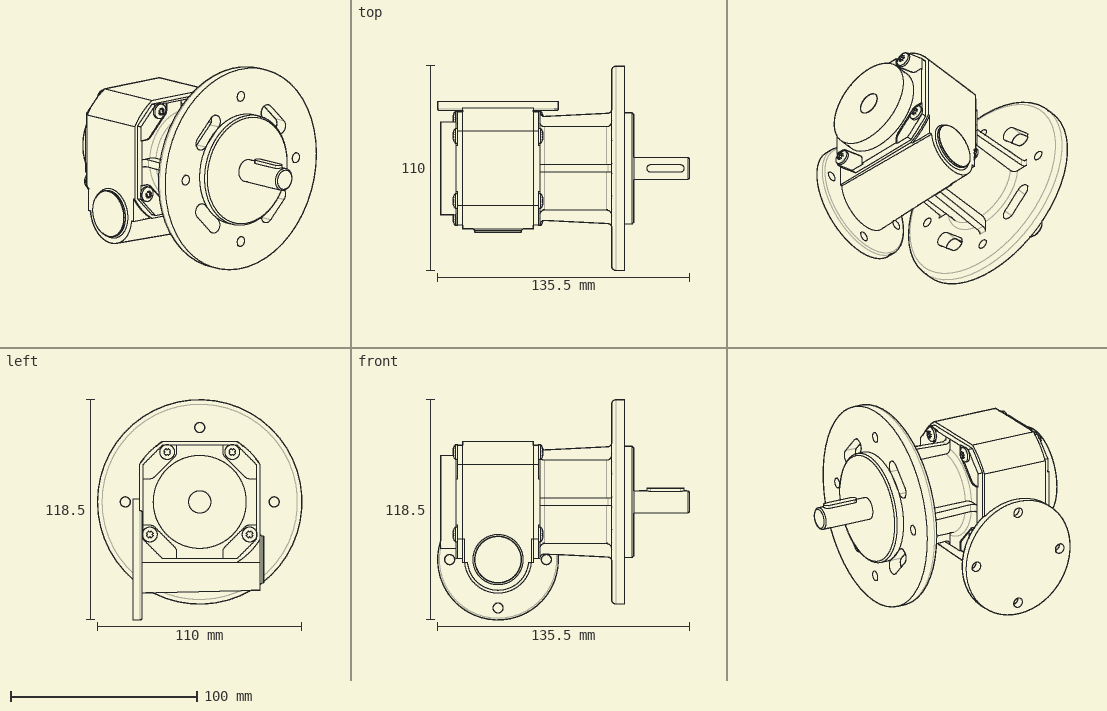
import cadquery as cq
import math


DIAGONAL = math.sqrt(0.5)

CASE_HALF_LENGTH = 19.0
CASE_HALF_WIDTH = 32.5
CORNER_START = 20.0
COVER_HALF_WIDTH = 30.5
COVER_FACE_X = 22.5

OUTPUT_Z = -31.0
BARREL_FRONT_RADIUS = 16.5
BARREL_BACK_RADIUS = 18.0
BARREL_END_Y = 31.0
BARREL_FRAME_BOTTOM_Z = -32.5
OUTPUT_FLANGE_RADIUS = 32.5
OUTPUT_FLANGE_THICKNESS = 5.0
OUTPUT_FLANGE_FILLET = 1.0
OUTPUT_BOLT_RADIUS = 26.0
FLANGE_HOLE_DIAMETER = 5.3
PLUG_RADIUS = 12.6
PLUG_HEIGHT = 2.0
PLUG_CHAMFER = 0.2
PLUG_COLLAR_RADIUS = 13.5
PLUG_COLLAR_HEIGHT = 0.9

PAD_DEPTH = 0.75
PAD_SIDE = 12.4
PAD_DIAGONAL = 37.7
PAD_FILLET = 4.0
SCREW_NEAR = 17.5
SCREW_FAR = 26.8
SCREW_HEAD_RADIUS = 4.0
SCREW_HEAD_HEIGHT = 2.6
SCREW_RIM_HEIGHT = 1.2
CROSS_LENGTH = 3.5
CROSS_WIDTH = 1.7
CROSS_DEPTH = 1.2

END_CAP_RADIUS = 25.0
END_CAP_FACE_X = -30.8
SHAFT_END_RECESS = 0.2

NECK_RADIUS = 22.5
NECK_COVER_FILLET = 2.4
NECK_FLANGE_FILLET = 2.7
FLANGE_START_X = 61.0
FLANGE_END_X = 68.0
FLANGE_RADIUS = 55.0
FLANGE_FILLET = 2.5
RIB_WIDTH = 4.0
RIB_COVER_HEIGHT = 28.0
RIB_FLANGE_HEIGHT = 29.7
RIB_FLANGE_FILLET = 2.0
RIB_COVER_FILLET = 2.4
FLANGE_BOLT_RADIUS = 40.0
SLOT_RADIUS = 33.5
SLOT_WIDTH = 8.0
SLOT_CHORD = 13.6
OPEN_SLOT_ANGLES = (45, 135, 315)
CLOSED_SLOT_ANGLE = 225
CLOSED_SLOT_FLOOR = 0.4
SPIGOT_RADIUS = 30.0
SPIGOT_END_X = 73.0
SPIGOT_CHAMFER = 1.0

SHAFT_RADIUS = 6.0
SHAFT_END_X = 103.0
SHAFT_CHAMFER = 0.8
KEY_START_X = 80.0
KEY_LENGTH = 20.0
KEY_WIDTH = 4.0
KEY_TOP_Z = 7.4


def cylinder_x(radius, start_x, end_x):
    return cq.Workplane("YZ", origin=(start_x, 0, 0)).circle(radius).extrude(end_x - start_x)


def cylinder_y(radius, start_y, end_y):
    return cq.Workplane("XZ", origin=(0, start_y, OUTPUT_Z)).circle(radius).extrude(start_y - end_y)


def case_block():
    """Case body with three corners rounded about the main axis; the lower +Y corner is square."""
    corner_mid = math.hypot(CASE_HALF_WIDTH, CORNER_START) * DIAGONAL
    return (
        cq.Workplane("YZ", origin=(-CASE_HALF_LENGTH, 0, 0))
        .moveTo(CASE_HALF_WIDTH, -CASE_HALF_WIDTH)
        .lineTo(CASE_HALF_WIDTH, CORNER_START)
        .threePointArc((corner_mid, corner_mid), (CORNER_START, CASE_HALF_WIDTH))
        .lineTo(-CORNER_START, CASE_HALF_WIDTH)
        .threePointArc((-corner_mid, corner_mid), (-CASE_HALF_WIDTH, CORNER_START))
        .lineTo(-CASE_HALF_WIDTH, -CORNER_START)
        .threePointArc((-corner_mid, -corner_mid), (-CORNER_START, -CASE_HALF_WIDTH))
        .close()
        .extrude(2 * CASE_HALF_LENGTH)
    )


def cover_block():
    """Square block with chamfered corners that runs through the case and forms both covers."""
    side = 2 * COVER_HALF_WIDTH
    block = cq.Workplane("XY").box(2 * COVER_FACE_X, side, side)
    return block.edges("|X").chamfer(COVER_HALF_WIDTH - CORNER_START)


def corner_pads():
    """Shallow pockets on the -X cover that seat the four screw heads."""
    reach = CASE_HALF_WIDTH
    far_side = PAD_DIAGONAL - PAD_SIDE
    pad = (
        cq.Workplane("YZ", origin=(-COVER_FACE_X, 0, 0))
        .polyline([
            (PAD_SIDE, reach),
            (PAD_SIDE, far_side),
            (far_side, PAD_SIDE),
            (reach, PAD_SIDE),
            (reach, reach),
        ])
        .close()
        .extrude(PAD_DEPTH)
    )
    margin = PAD_FILLET / 4
    bend_region = cq.selectors.BoxSelector(
        (-COVER_FACE_X - margin, PAD_SIDE - margin, PAD_SIDE - margin),
        (-COVER_FACE_X + margin, far_side + margin, far_side + margin),
    )
    pad = pad.edges("|X").edges(bend_region).fillet(PAD_FILLET)
    pads = pad
    for turn in (90, 180, 270):
        pads = pads.union(pad.rotate((0, 0, 0), (1, 0, 0), turn))
    return pads


def screw_head():
    """Domed cross-recess head pointing to -X with its seat at the origin."""
    rise = SCREW_HEAD_HEIGHT - SCREW_RIM_HEIGHT
    dome_radius = (SCREW_HEAD_RADIUS**2 + rise**2) / (2 * rise)
    half_angle = math.asin(SCREW_HEAD_RADIUS / dome_radius) / 2
    dome_center_x = dome_radius - SCREW_HEAD_HEIGHT
    dome_mid = (
        dome_center_x - dome_radius * math.cos(half_angle),
        dome_radius * math.sin(half_angle),
    )
    head = (
        cq.Workplane("XY")
        .lineTo(0, SCREW_HEAD_RADIUS)
        .lineTo(-SCREW_RIM_HEIGHT, SCREW_HEAD_RADIUS)
        .threePointArc(dome_mid, (-SCREW_HEAD_HEIGHT, 0))
        .close()
        .revolve(360, (0, 0, 0), (1, 0, 0))
    )
    for arm_angle in (45, -45):
        arm = (
            cq.Workplane("YZ", origin=(-SCREW_HEAD_HEIGHT, 0, 0))
            .rect(CROSS_LENGTH, CROSS_WIDTH)
            .extrude(CROSS_DEPTH)
            .rotate((0, 0, 0), (1, 0, 0), arm_angle)
        )
        head = head.cut(arm)
    return head


def mirrored_pair(body):
    return body.union(body.mirror("YZ"))


def gear_case():
    covers = cover_block().cut(mirrored_pair(corner_pads()))
    case = case_block().union(covers)
    seat_x = PAD_DEPTH - COVER_FACE_X
    for side in (-1, 1):
        for y, z in ((SCREW_NEAR, SCREW_FAR), (SCREW_FAR, -SCREW_NEAR)):
            head = screw_head().translate((seat_x, side * y, z))
            case = case.union(mirrored_pair(head))
    return case


def end_cap():
    cap = cylinder_x(END_CAP_RADIUS, END_CAP_FACE_X, -CASE_HALF_LENGTH)
    recess = cylinder_x(SHAFT_RADIUS, END_CAP_FACE_X, END_CAP_FACE_X + SHAFT_END_RECESS)
    return cap.cut(recess)


def output_barrel():
    """Tapered barrel around the output shaft, blended up into the case by a straight frame."""
    frame = (
        cq.Workplane("XY", origin=(0, 0, BARREL_FRAME_BOTTOM_Z))
        .rect(2 * BARREL_BACK_RADIUS, 2 * CASE_HALF_WIDTH)
        .extrude(-BARREL_FRAME_BOTTOM_Z)
    )
    barrel = (
        cq.Workplane("XZ", origin=(0, -CASE_HALF_WIDTH, OUTPUT_Z))
        .circle(BARREL_FRONT_RADIUS)
        .workplane(offset=-(CASE_HALF_WIDTH + BARREL_END_Y))
        .circle(BARREL_BACK_RADIUS)
        .loft()
    )
    plug = cylinder_y(PLUG_RADIUS, -CASE_HALF_WIDTH, -CASE_HALF_WIDTH - PLUG_HEIGHT)
    plug = plug.faces("<Y").edges().chamfer(PLUG_CHAMFER)
    collar = (
        cq.Workplane("XZ", origin=(0, -CASE_HALF_WIDTH, OUTPUT_Z))
        .circle(PLUG_COLLAR_RADIUS)
        .workplane(offset=PLUG_COLLAR_HEIGHT)
        .circle(PLUG_RADIUS)
        .loft()
    )
    return frame.union(barrel).union(collar).union(plug)


def output_flange():
    back_y = BARREL_END_Y + OUTPUT_FLANGE_THICKNESS
    flange = cylinder_y(OUTPUT_FLANGE_RADIUS, back_y, BARREL_END_Y)
    flange = flange.faces("<Y").edges().fillet(OUTPUT_FLANGE_FILLET)
    holes = (
        cq.Workplane("XZ", origin=(0, back_y, OUTPUT_Z))
        .polarArray(OUTPUT_BOLT_RADIUS, 0, 360, 4)
        .circle(FLANGE_HOLE_DIAMETER / 2)
        .extrude(OUTPUT_FLANGE_THICKNESS)
    )
    return flange.cut(holes)


def neck():
    """Round neck between the case and the main flange, flared at both ends."""
    cover_flare = NECK_RADIUS + NECK_COVER_FILLET
    flange_flare = NECK_RADIUS + NECK_FLANGE_FILLET
    cover_mid = (
        COVER_FACE_X + NECK_COVER_FILLET * (1 - DIAGONAL),
        cover_flare - NECK_COVER_FILLET * DIAGONAL,
    )
    flange_mid = (
        FLANGE_START_X - NECK_FLANGE_FILLET * (1 - DIAGONAL),
        flange_flare - NECK_FLANGE_FILLET * DIAGONAL,
    )
    return (
        cq.Workplane("XY")
        .moveTo(CASE_HALF_LENGTH, 0)
        .lineTo(CASE_HALF_LENGTH, cover_flare)
        .lineTo(COVER_FACE_X, cover_flare)
        .threePointArc(cover_mid, (COVER_FACE_X + NECK_COVER_FILLET, NECK_RADIUS))
        .lineTo(FLANGE_START_X - NECK_FLANGE_FILLET, NECK_RADIUS)
        .threePointArc(flange_mid, (FLANGE_START_X, flange_flare))
        .lineTo(FLANGE_END_X, flange_flare)
        .lineTo(FLANGE_END_X, 0)
        .close()
        .revolve(360, (0, 0, 0), (1, 0, 0))
    )


def ribs():
    """Four tapered ribs along the neck, each flaring out at the cover and at the flange."""
    flare_start = (FLANGE_START_X - RIB_FLANGE_FILLET, RIB_FLANGE_HEIGHT)
    flare_mid = (
        FLANGE_START_X - RIB_FLANGE_FILLET * (1 - DIAGONAL),
        RIB_FLANGE_HEIGHT + RIB_FLANGE_FILLET * (1 - DIAGONAL),
    )
    cover_flare_height = RIB_COVER_HEIGHT + RIB_COVER_FILLET
    cover_mid = (
        COVER_FACE_X + RIB_COVER_FILLET * (1 - DIAGONAL),
        cover_flare_height - RIB_COVER_FILLET * DIAGONAL,
    )
    rib = (
        cq.Workplane("XZ", origin=(0, RIB_WIDTH / 2, 0))
        .moveTo(CASE_HALF_LENGTH, 0)
        .lineTo(CASE_HALF_LENGTH, cover_flare_height)
        .lineTo(COVER_FACE_X, cover_flare_height)
        .threePointArc(cover_mid, (COVER_FACE_X + RIB_COVER_FILLET, RIB_COVER_HEIGHT))
        .lineTo(*flare_start)
        .threePointArc(flare_mid, (FLANGE_START_X, RIB_FLANGE_HEIGHT + RIB_FLANGE_FILLET))
        .lineTo(FLANGE_START_X, 0)
        .close()
        .extrude(RIB_WIDTH)
    )
    group = rib
    for turn in (90, 180, 270):
        group = group.union(rib.rotate((0, 0, 0), (1, 0, 0), turn))
    return group


def flange_slot(angle, depth):
    """Slot cutter lying across the radius at the given angle from +Y about the main axis."""
    return (
        cq.Workplane("YZ", origin=(FLANGE_START_X, 0, 0))
        .center(SLOT_RADIUS, 0)
        .slot2D(SLOT_CHORD + SLOT_WIDTH, SLOT_WIDTH, 90)
        .extrude(depth)
        .rotate((0, 0, 0), (1, 0, 0), angle)
    )


def main_flange():
    """Round flange with bolt holes, three open slots, one closed slot and a centring spigot."""
    flange = cylinder_x(FLANGE_RADIUS, FLANGE_START_X, FLANGE_END_X)
    flange = flange.faces("<X").edges().fillet(FLANGE_FILLET)
    thickness = FLANGE_END_X - FLANGE_START_X
    holes = (
        cq.Workplane("YZ", origin=(FLANGE_START_X, 0, 0))
        .polarArray(FLANGE_BOLT_RADIUS, 0, 360, 4)
        .circle(FLANGE_HOLE_DIAMETER / 2)
        .extrude(thickness)
    )
    spigot = cylinder_x(SPIGOT_RADIUS, FLANGE_START_X, SPIGOT_END_X)
    spigot = spigot.faces(">X").edges().chamfer(SPIGOT_CHAMFER)
    flange = flange.union(spigot).cut(holes)
    for angle in OPEN_SLOT_ANGLES:
        flange = flange.cut(flange_slot(angle, thickness))
    return flange.cut(flange_slot(CLOSED_SLOT_ANGLE, thickness - CLOSED_SLOT_FLOOR))


def main_shaft():
    shaft = cylinder_x(SHAFT_RADIUS, FLANGE_END_X, SHAFT_END_X)
    shaft = shaft.faces(">X").edges().chamfer(SHAFT_CHAMFER)
    key = (
        cq.Workplane("XY", origin=(KEY_START_X + KEY_LENGTH / 2, 0, 0))
        .slot2D(KEY_LENGTH, KEY_WIDTH)
        .extrude(KEY_TOP_Z)
    )
    return shaft.union(key)


result = (
    gear_case()
    .union(end_cap())
    .union(output_barrel())
    .union(output_flange())
    .union(neck())
    .union(ribs())
    .union(main_flange())
    .union(main_shaft())
)